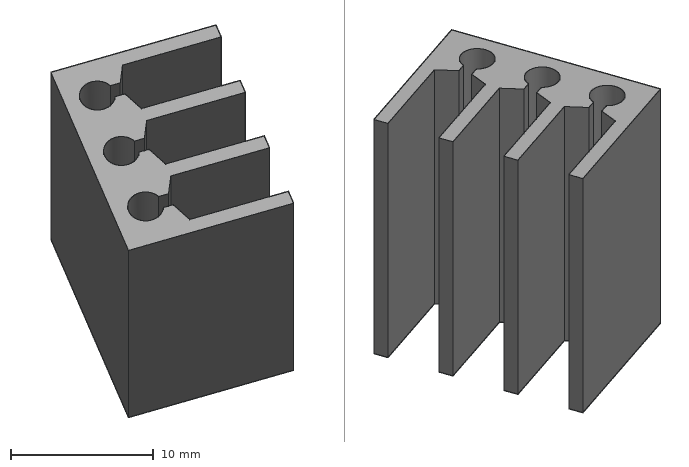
import cadquery as cq

width = 16.35
depth = 12.28
height = 20.0

slot_count = 3
slot_pitch = 5.08
wall_thickness = 1.1
slot_width = slot_pitch - wall_thickness
slot_floor_y = 4.95

keyhole_offset = -0.1
neck_width = 1.0
neck_top_y = 4.28
bore_diameter = 2.5
bore_y = 2.4


def slot_cutter(center_x):
    """Open slot with a funnel floor leading through a neck into a round bore."""
    left = center_x - slot_width / 2
    right = center_x + slot_width / 2
    keyhole_x = center_x + keyhole_offset
    neck_left = keyhole_x - neck_width / 2
    neck_right = keyhole_x + neck_width / 2
    channel = (
        cq.Workplane("XY")
        .polyline([
            (left, depth),
            (left, slot_floor_y),
            (neck_left, neck_top_y),
            (neck_left, bore_y),
            (neck_right, bore_y),
            (neck_right, neck_top_y),
            (right, slot_floor_y),
            (right, depth),
        ])
        .close()
        .extrude(height)
    )
    bore = (
        cq.Workplane("XY")
        .center(keyhole_x, bore_y)
        .circle(bore_diameter / 2)
        .extrude(height)
    )
    return channel.union(bore)


result = cq.Workplane("XY").box(width, depth, height, centered=False)
for index in range(slot_count):
    slot_x = width / 2 + (index - (slot_count - 1) / 2) * slot_pitch
    result = result.cut(slot_cutter(slot_x))